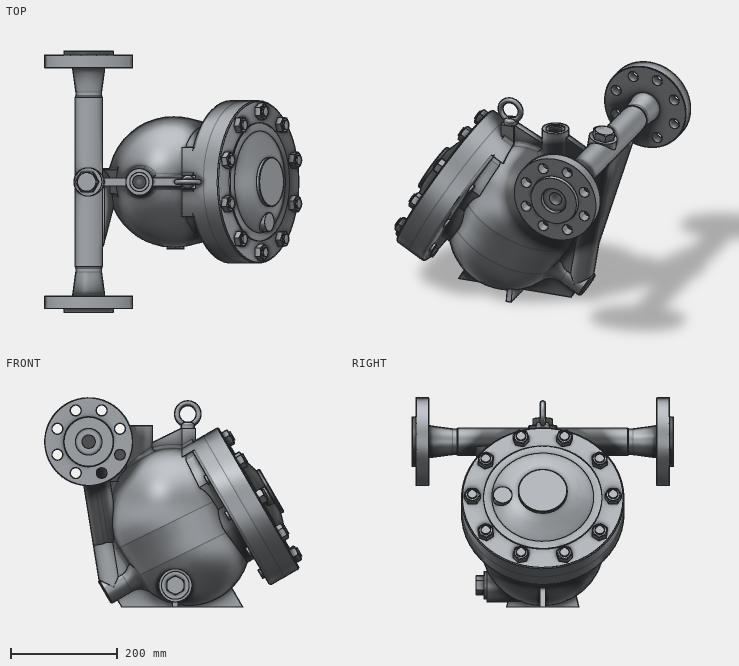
import cadquery as cq
import math


OVERALL_LENGTH = 490.0
PIPE_DIA = 52.0
PIPE_HALF = 158.5
NECK_SMALL_DIA = 48.5
NECK_LARGE_DIA = 60.0
WELD_DIA = 49.5
WELD_END = 161.0
NECK_STRAIGHT_END = 169.0
NECK_CONE_END = 210.5
FLANGE_BACK = 213.5
FLANGE_DIA = 165.0
FLANGE_THICK = 24.0
FLANGE_EDGE = 1.0
RAISED_DIA = 94.0
RAISED_FACE_DIA = 92.0
FLANGE_HOLE_DIA = 20.0
FLANGE_HOLE_CIRCLE = 127.0
FLANGE_HOLE_COUNT = 8
SOCKET_DIA = 50.0
SOCKET_DEPTH = 10.0
BORE_DIA = 25.0
BORE_DEPTH = 60.0

COVER_TILT = 30.0
PARTING_X = 291.1
PARTING_Z = -121.2
COVER_DIA = 305.0
COVER_THICK = 32.0
COVER_EDGE = 2.0
BODY_FLANGE_THICK = 32.0
BODY_FLANGE_EDGE = 5.0
PAD_DIA = 222.0
PAD_HEIGHT = 2.5
DOME_DIA = 191.0
COVER_BOSS_DIA = 92.0
COVER_BOSS_FACE_DIA = 90.0
COVER_BOSS_HEIGHT = 28.0
DOME_RIM_HEIGHT = 21.5
DOME_MID_DIA = 136.0
DOME_MID_HEIGHT = 14.5
SIDE_BOSS_DIA = 35.0
SIDE_BOSS_HEIGHT = 20.0
SIDE_BOSS_Y = -75.0
SIDE_BOSS_RISE = -5.0
BOLT_COUNT = 10
BOLT_CIRCLE = 264.0
BOLT_DIA = 18.0
BOLT_HEX_FLATS = 27.0
BOLT_HEX_CROWN = 25.0
BOLT_HEX_HEIGHT = 12.5
BOLT_TIP_HEIGHT = 15.4
BOLT_TAIL = 5.0

UPPER_BALL_DIA = 245.0
UPPER_BALL_X = 159.0
UPPER_BALL_Z = -134.4
LOWER_BALL_DIA = 231.5
LOWER_BALL_X = 187.0
LOWER_BALL_Z = -191.4
NECK_GAP = 25.0
NECK_LIMIT = 146.0
NECK_FILLET = 12.0
NECK_UPPER_RADIUS = 104.0
NECK_UPPER_RISE = 50.0
NECK_LOWER_RADIUS = 93.0
NECK_LOWER_RISE = -1.0
HEEL_WALL_X = 174.8
HEEL_RISE = 138.0
HEEL_OVERLAP = 10.0

LEG_DIA = 50.0
LEG_TILT = 9.1
LEG_OFFSET_X = 3.0
LEG_LENGTH = 276.0
PLUG_SEAT = 28.5
PLUG_BOSS_DIA = 53.0
PLUG_FLATS = 37.0
PLUG_CROWN = 35.0
PLUG_HEX_TOP = 43.0
WEB_EDGE_RADIUS = 21.0
WEB_TOP = -12.0
WEB_TOP_WIDTH = 133.0
WEB_LOW_WIDTH = 24.0
WEB_BOTTOM = -193.0
SPIGOT_DIA = 50.0
SPIGOT_END_X = 29.8
SPIGOT_END_Z = -281.8
SPIGOT_EDGE = 2.5
SPIGOT_FLARE_RADIUS = 32.0
LEG_RIB_THICK = 44.0
LEG_RIB_BACK_X = 20.0
LEG_RIB_TOP_Z = -75.0
LEG_RIB_FOOT_X = 45.0
LEG_RIB_FOOT_Z = -270.0

TOP_BOSS_DIA = 50.0
TOP_BOSS_X = 95.0
TOP_BOSS_Z = 30.0
TOP_SINK_DIA = 36.0
TOP_SINK_DEPTH = 2.0
TOP_HOLE_DIA = 25.0
TOP_HOLE_DEPTH = 50.0
RIB_THICK = 15.0
RIB_ROOT_Z = -80.0
BACK_RIB_START_X = 12.0
BACK_RIB_START_Z = -16.0
BACK_RIB_END_X = 70.0
BACK_RIB_END_Z = 17.0
FRONT_RIB_START_Z = -13.5
FRONT_RIB_END_X = 173.0
EYE_X = 185.8
EYE_Z = 51.9
EYE_RING_RADIUS = 20.2
EYE_WIRE_DIA = 9.6
EYE_SEAT_Z = 25.0
EYE_COLLAR_DIA = 25.0
EYE_COLLAR_HEIGHT = 11.0
EYE_COLLAR_ROUND = 5.0
EYE_BLOCK_LENGTH = 25.5
EYE_BLOCK_WIDTH = 25.0
EYE_BLOCK_DROP = 40.0
EYE_ROOT_LOW_Z = -10.0
EYE_ROOT_HIGH_Z = 0.0
EYE_BLOCK_FILLET = 6.0
ROOT_FILLET = 8.0
TOP_ROOT_REACH = 20.0

DRAIN_X = 162.5
DRAIN_Z = -269.2
DRAIN_DIA = 62.0
DRAIN_FACE_Y = -104.6
DRAIN_COLLAR_DIA = 52.0
DRAIN_COLLAR_HEIGHT = 5.4
DRAIN_HEX_FLATS = 31.5
DRAIN_HEX_CROWN = 33.0
DRAIN_HEX_HEIGHT = 15.3
FOOT_Z = -310.0
FOOT_THICK = 10.0
FOOT_HALF_WIDTH = 68.0
FOOT_BACK_X = 62.0
FOOT_FRONT_X = 289.0
FOOT_BACK_RISE = 17.0
CROSS_FOOT_TOP_HALF_WIDTH = 38.0

HALF_HEX_TURN = 30.0
CROWN_ANGLE = math.radians(30)
tilt = math.radians(COVER_TILT)
cover_axis = cq.Vector(math.cos(tilt), 0, math.sin(tilt))
cover_rise = cq.Vector(-math.sin(tilt), 0, math.cos(tilt))
parting_centre = cq.Vector(PARTING_X, 0, PARTING_Z)


def cover_plane(distance):
    """Plane square to the cover axis; local x is +Y and local y climbs the cover."""
    origin = parting_centre + cover_axis * distance
    return cq.Workplane(cq.Plane(origin=origin.toTuple(), xDir=(0, 1, 0), normal=cover_axis.toTuple()))


def axial_profile(origin):
    """Sketch plane for turned shapes: local x is +Y, local y runs along the cover axis."""
    return cq.Workplane(cq.Plane(origin=origin, xDir=(0, 1, 0), normal=(cover_rise * -1).toTuple()))


def spigot_end_plane():
    """Plane of the spigot's end face, its normal pointing into the chamber."""
    origin = (SPIGOT_END_X, 0, SPIGOT_END_Z)
    return cq.Workplane(cq.Plane(origin=origin, xDir=(0, 1, 0), normal=cover_axis.toTuple()))


def across_corners(flats):
    return flats / math.cos(math.radians(HALF_HEX_TURN))


def make_hex_head(base, flats, height, crown_dia):
    """Hexagon standing on a workplane, its free corners turned down to a crown circle."""
    corners = across_corners(flats)
    crown_drop = (corners - crown_dia) / 2 * math.tan(CROWN_ANGLE)
    profile = [
        (0, 0),
        (corners / 2, 0),
        (corners / 2, height - crown_drop),
        (crown_dia / 2, height),
        (0, height),
    ]
    plane = base.plane
    side = cq.Plane(origin=plane.origin, xDir=plane.xDir, normal=plane.yDir * -1)
    crown = cq.Workplane(side).polyline(profile).close().revolve(360, (0, 0, 0), (0, 1, 0))
    return base.polygon(6, corners).extrude(height).intersect(crown)


def make_pipe_end():
    """One welding neck and flange on the +Y end, turned about Y."""
    end = OVERALL_LENGTH / 2
    flange_front = FLANGE_BACK + FLANGE_THICK
    profile = [
        (0, PIPE_HALF),
        (WELD_DIA / 2, PIPE_HALF),
        (WELD_DIA / 2, WELD_END),
        (NECK_SMALL_DIA / 2, WELD_END),
        (NECK_SMALL_DIA / 2, NECK_STRAIGHT_END),
        (NECK_LARGE_DIA / 2, NECK_CONE_END),
        (NECK_LARGE_DIA / 2, FLANGE_BACK),
        (FLANGE_DIA / 2 - FLANGE_EDGE, FLANGE_BACK),
        (FLANGE_DIA / 2, FLANGE_BACK + FLANGE_EDGE),
        (FLANGE_DIA / 2, flange_front),
        (RAISED_DIA / 2, flange_front),
        (RAISED_FACE_DIA / 2, end),
        (0, end),
    ]
    body = cq.Workplane("XY").polyline(profile).close().revolve(360, (0, 0, 0), (0, 1, 0))
    face = cq.Workplane("XZ", origin=(0, end, 0))
    holes = (
        face.polarArray(FLANGE_HOLE_CIRCLE / 2, 180 / FLANGE_HOLE_COUNT, 360, FLANGE_HOLE_COUNT)
        .circle(FLANGE_HOLE_DIA / 2)
        .extrude(end - FLANGE_BACK + FLANGE_EDGE)
    )
    socket = face.circle(SOCKET_DIA / 2).extrude(SOCKET_DEPTH)
    bore = face.circle(BORE_DIA / 2).extrude(BORE_DEPTH)
    return body.cut(holes).cut(socket).cut(bore)


def make_pipe():
    tube = cq.Workplane("XZ").circle(PIPE_DIA / 2).extrude(PIPE_HALF, both=True)
    pipe_end = make_pipe_end()
    return tube.union(pipe_end).union(pipe_end.mirror("XZ"))


def make_leg():
    """Inclined leg pipe with its triangular web and the hex plug on top."""
    lean = math.radians(LEG_TILT)
    normal = (-math.sin(lean), 0, math.cos(lean))
    leg_plane = cq.Plane(origin=(LEG_OFFSET_X, 0, 0), xDir=(0, -1, 0), normal=normal)
    square = cq.Workplane(leg_plane)
    pipe = square.workplane(offset=-LEG_LENGTH).circle(LEG_DIA / 2).extrude(LEG_LENGTH)
    plug_boss = square.circle(PLUG_BOSS_DIA / 2).extrude(PLUG_SEAT)
    plug_base = square.workplane(offset=PLUG_SEAT).transformed(rotate=(0, 0, HALF_HEX_TURN))
    plug = make_hex_head(plug_base, PLUG_FLATS, PLUG_HEX_TOP - PLUG_SEAT, PLUG_CROWN)
    along = cq.Workplane(cq.Plane(origin=(LEG_OFFSET_X, 0, 0), xDir=(0, -1, 0),
                                  normal=(-math.cos(lean), 0, -math.sin(lean))))
    outline = [
        (0, WEB_TOP),
        (WEB_TOP_WIDTH, WEB_TOP),
        (WEB_LOW_WIDTH, WEB_BOTTOM),
        (0, WEB_BOTTOM),
    ]
    web = along.polyline(outline).close().extrude(LEG_DIA / 2, both=True)
    slope = cq.Vector(WEB_TOP_WIDTH - WEB_LOW_WIDTH, WEB_TOP - WEB_BOTTOM, 0)
    slope_direction = along.plane.toWorldCoords(slope) - along.plane.origin
    web = web.edges(cq.selectors.ParallelDirSelector(slope_direction)).fillet(WEB_EDGE_RADIUS)
    leg = pipe.union(plug_boss).union(plug).union(web)
    return leg.cut(make_spigot_end_space())


def make_spigot():
    """Closed spigot parallel to the cover axis, flaring out into the lower ball."""
    ball = LOWER_BALL_DIA / 2
    radius = SPIGOT_DIA / 2
    flare = SPIGOT_FLARE_RADIUS
    reach = math.hypot(LOWER_BALL_X - SPIGOT_END_X, LOWER_BALL_Z - SPIGOT_END_Z)
    flare_out = radius + flare
    flare_along = reach - math.sqrt((ball + flare) ** 2 - flare_out**2)
    share = ball / (ball + flare)
    ball_touch = (flare_out * share, reach - (reach - flare_along) * share)
    toward_spigot = math.pi
    toward_ball = math.atan2(reach - flare_along, -flare_out)
    halfway = (toward_spigot + toward_ball) / 2
    flare_middle = (flare_out + flare * math.cos(halfway), flare_along + flare * math.sin(halfway))
    return (
        axial_profile((SPIGOT_END_X, 0, SPIGOT_END_Z))
        .moveTo(0, 0)
        .lineTo(radius - SPIGOT_EDGE, 0)
        .lineTo(radius, SPIGOT_EDGE)
        .lineTo(radius, flare_along)
        .threePointArc(flare_middle, ball_touch)
        .lineTo(0, reach)
        .close()
        .revolve(360, (0, 0, 0), (0, 1, 0))
    )


def make_spigot_end_space():
    """Space outside the spigot's end, where the foot of the leg is trimmed away."""
    size = 4 * SPIGOT_DIA
    return spigot_end_plane().workplane(offset=SPIGOT_EDGE).rect(size, size).extrude(-size)


def make_leg_rib():
    """Rib filling the corner between the leg, the spigot and the chamber."""
    outline = [
        (LEG_RIB_BACK_X, LEG_RIB_TOP_Z),
        (LEG_RIB_FOOT_X, LEG_RIB_FOOT_Z),
        (UPPER_BALL_X, LOWER_BALL_Z),
        (UPPER_BALL_X, LEG_RIB_TOP_Z),
    ]
    return make_rib(outline, LEG_RIB_THICK)


def make_chamber():
    """Tangent hull of two balls, turned about the line through their centres."""
    big = UPPER_BALL_DIA / 2
    small = LOWER_BALL_DIA / 2
    span = math.hypot(LOWER_BALL_X - UPPER_BALL_X, LOWER_BALL_Z - UPPER_BALL_Z)
    sine = (big - small) / span
    cosine = math.sqrt(1 - sine**2)
    middle = math.sqrt(0.5)
    plane = cq.Plane(
        origin=(UPPER_BALL_X, 0, UPPER_BALL_Z),
        xDir=(0, 1, 0),
        normal=((LOWER_BALL_Z - UPPER_BALL_Z) / span, 0, -(LOWER_BALL_X - UPPER_BALL_X) / span),
    )
    return (
        cq.Workplane(plane)
        .moveTo(0, -big)
        .threePointArc((big * middle, -big * middle), (big * cosine, big * sine))
        .lineTo(small * cosine, span + small * sine)
        .threePointArc((small * middle, span + small * middle), (0, span + small))
        .close()
        .revolve(360, (0, 0, 0), (0, 1, 0))
    )


def make_neck():
    """Straight neck from the chamber to the flange, shaped like the chamber's section."""
    start = -BODY_FLANGE_THICK - NECK_GAP
    upper, upper_rise = NECK_UPPER_RADIUS, NECK_UPPER_RISE
    lower, lower_rise = NECK_LOWER_RADIUS, NECK_LOWER_RISE
    sine = (lower - upper) / (upper_rise - lower_rise)
    cosine = math.sqrt(1 - sine**2)
    upper_touch = (upper * cosine, upper_rise - upper * sine)
    lower_touch = (lower * cosine, lower_rise - lower * sine)
    outline = (
        cover_plane(start)
        .moveTo(*upper_touch)
        .threePointArc((0, upper_rise + upper), (-upper_touch[0], upper_touch[1]))
        .lineTo(-lower_touch[0], lower_touch[1])
        .threePointArc((0, lower_rise - lower), lower_touch)
        .close()
    )
    rear_face = cover_plane(-BODY_FLANGE_THICK)
    plate = rear_face.circle(COVER_DIA).extrude(BODY_FLANGE_THICK / 2)
    neck = outline.extrude(NECK_GAP)
    square_faces = plate.union(neck).faces(cq.selectors.ParallelDirSelector(cover_axis))
    ring = square_faces.faces(cq.selectors.AreaNthSelector(-1))
    neck = ring.wires(cq.selectors.LengthNthSelector(0)).fillet(NECK_FILLET)
    return neck.intersect(cover_plane(start).circle(NECK_LIMIT).extrude(NECK_GAP + BODY_FLANGE_THICK / 2))


def make_heel():
    """Top segment of the body flange carried back to a vertical wall."""
    length = COVER_DIA / 2
    height = COVER_DIA / 2 - HEEL_RISE
    back = cover_plane(-BODY_FLANGE_THICK - length)
    segment = back.center(0, HEEL_RISE + height / 2).rect(COVER_DIA, height).extrude(length + HEEL_OVERLAP)
    round_bar = back.circle(COVER_DIA / 2).extrude(length + HEEL_OVERLAP)
    ahead_of_wall = (
        cq.Workplane("YZ", origin=(HEEL_WALL_X, 0, 0)).rect(2 * COVER_DIA, 2 * COVER_DIA).extrude(COVER_DIA)
    )
    heel = round_bar.intersect(segment).intersect(ahead_of_wall)
    block_centre_x = HEEL_WALL_X + EYE_BLOCK_LENGTH / 2
    block = (
        cq.Workplane("XY", origin=(block_centre_x, 0, EYE_SEAT_Z))
        .rect(EYE_BLOCK_LENGTH, EYE_BLOCK_WIDTH)
        .extrude(-EYE_BLOCK_DROP)
    )
    side_roots = cq.selectors.BoxSelector(
        (HEEL_WALL_X, -EYE_BLOCK_WIDTH, EYE_ROOT_LOW_Z),
        (block_centre_x, EYE_BLOCK_WIDTH, EYE_ROOT_HIGH_Z),
    )
    inclined = cq.selectors.ParallelDirSelector(cover_axis)
    return heel.union(block).edges(inclined).edges(side_roots).fillet(EYE_BLOCK_FILLET)


def make_body_flange():
    facing_back = cq.selectors.DirectionMinMaxSelector(cover_axis, False)
    disc = cover_plane(-BODY_FLANGE_THICK).circle(COVER_DIA / 2).extrude(BODY_FLANGE_THICK)
    disc = disc.faces(facing_back).edges().fillet(BODY_FLANGE_EDGE)
    return disc.union(make_neck()).union(make_heel())


def make_cover():
    disc = cover_plane(0).circle(COVER_DIA / 2).extrude(COVER_THICK)
    disc = disc.faces(cq.selectors.DirectionMinMaxSelector(cover_axis, True)).chamfer(COVER_EDGE)
    pad = cover_plane(COVER_THICK).circle(PAD_DIA / 2).extrude(PAD_HEIGHT)
    rim_x = COVER_BOSS_DIA / 2
    boss_edge = (COVER_BOSS_DIA - COVER_BOSS_FACE_DIA) / 2
    front_centre = parting_centre + cover_axis * COVER_THICK
    dome = (
        axial_profile(front_centre.toTuple())
        .moveTo(0, 0)
        .lineTo(DOME_DIA / 2, 0)
        .lineTo(DOME_DIA / 2, PAD_HEIGHT)
        .threePointArc((DOME_MID_DIA / 2, DOME_MID_HEIGHT), (rim_x, DOME_RIM_HEIGHT))
        .lineTo(rim_x, COVER_BOSS_HEIGHT - boss_edge)
        .lineTo(COVER_BOSS_FACE_DIA / 2, COVER_BOSS_HEIGHT)
        .lineTo(0, COVER_BOSS_HEIGHT)
        .close()
        .revolve(360, (0, 0, 0), (0, 1, 0))
    )
    side_boss = (
        cover_plane(COVER_THICK)
        .center(SIDE_BOSS_Y, SIDE_BOSS_RISE)
        .circle(SIDE_BOSS_DIA / 2)
        .extrude(SIDE_BOSS_HEIGHT)
    )
    return disc.union(pad).union(dome).union(side_boss)


def make_bolt(angle):
    """Cover bolt: stud through both flanges with a hex nut, one corner pointing outward."""
    y = BOLT_CIRCLE / 2 * math.cos(math.radians(angle))
    rise = BOLT_CIRCLE / 2 * math.sin(math.radians(angle))
    stud_length = BOLT_TAIL + BODY_FLANGE_THICK + COVER_THICK + BOLT_TIP_HEIGHT
    stud_base = cover_plane(-BODY_FLANGE_THICK - BOLT_TAIL).center(y, rise)
    stud = stud_base.circle(BOLT_DIA / 2).extrude(stud_length)
    nut_seat = cover_plane(COVER_THICK).transformed(rotate=(0, 0, angle)).center(BOLT_CIRCLE / 2, 0)
    nut = make_hex_head(nut_seat, BOLT_HEX_FLATS, BOLT_HEX_HEIGHT, BOLT_HEX_CROWN)
    return stud.union(nut)


def make_top_boss():
    depth = TOP_BOSS_Z - UPPER_BALL_Z
    return cq.Workplane("XY", origin=(TOP_BOSS_X, 0, UPPER_BALL_Z)).circle(TOP_BOSS_DIA / 2).extrude(depth)


def cut_top_hole(part):
    top = cq.Workplane("XY", origin=(TOP_BOSS_X, 0, TOP_BOSS_Z))
    part = part.cut(top.circle(TOP_SINK_DIA / 2).extrude(-TOP_SINK_DEPTH))
    return part.cut(top.circle(TOP_HOLE_DIA / 2).extrude(-TOP_HOLE_DEPTH))


def make_rib(outline, thick):
    """Upright plate lying in the symmetry plane."""
    return cq.Workplane("XZ").polyline(outline).close().extrude(thick / 2, both=True)


def make_ribs():
    """Two ribs running out from the top boss: back to the main pipe and forward to the eye."""
    back = [
        (BACK_RIB_START_X, BACK_RIB_START_Z),
        (BACK_RIB_END_X, BACK_RIB_END_Z),
        (TOP_BOSS_X, BACK_RIB_END_Z),
        (TOP_BOSS_X, RIB_ROOT_Z),
        (BACK_RIB_START_X, RIB_ROOT_Z),
    ]
    front = [
        (TOP_BOSS_X, FRONT_RIB_START_Z),
        (FRONT_RIB_END_X, EYE_SEAT_Z),
        (EYE_X, EYE_SEAT_Z),
        (EYE_X, RIB_ROOT_Z),
        (TOP_BOSS_X, RIB_ROOT_Z),
    ]
    return make_rib(back, RIB_THICK).union(make_rib(front, RIB_THICK))


def make_lifting_eye():
    collar = (
        cq.Workplane("XY", origin=(EYE_X, 0, EYE_SEAT_Z))
        .circle(EYE_COLLAR_DIA / 2)
        .extrude(EYE_COLLAR_HEIGHT)
        .faces(">Z")
        .fillet(EYE_COLLAR_ROUND)
    )
    ring = (
        cq.Workplane("XY", origin=(EYE_X, 0, EYE_Z))
        .center(EYE_RING_RADIUS, 0)
        .circle(EYE_WIRE_DIA / 2)
        .revolve(360, (-EYE_RING_RADIUS, 0, 0), (-EYE_RING_RADIUS, 1, 0))
    )
    return collar.union(ring)


def make_chamber_with_ribs():
    """Chamber, top boss and ribs with rounded roots where they leave the upper ball."""
    body = make_chamber().union(make_top_boss()).union(make_ribs())
    top_roots = cq.selectors.BoxSelector(
        (TOP_BOSS_X - TOP_ROOT_REACH, -TOP_BOSS_DIA, RIB_ROOT_Z),
        (HEEL_WALL_X, TOP_BOSS_DIA, FRONT_RIB_START_Z),
    )
    body = body.edges(top_roots).fillet(ROOT_FILLET).union(make_leg_rib())
    leg_roots = cq.selectors.BoxSelector(
        (LEG_RIB_BACK_X + SPIGOT_DIA / 2 - ROOT_FILLET, -LEG_RIB_THICK, LOWER_BALL_Z),
        (UPPER_BALL_X, LEG_RIB_THICK, LEG_RIB_TOP_Z - ROOT_FILLET),
    )
    return body.edges(leg_roots).fillet(ROOT_FILLET)


def make_drain():
    base = cq.Workplane("XZ", origin=(DRAIN_X, 0, DRAIN_Z))
    collar_face = -DRAIN_FACE_Y + DRAIN_COLLAR_HEIGHT
    boss = base.circle(DRAIN_DIA / 2).extrude(-DRAIN_FACE_Y)
    collar = base.circle(DRAIN_COLLAR_DIA / 2).extrude(collar_face)
    head_seat = base.workplane(offset=collar_face).transformed(rotate=(0, 0, 3 * HALF_HEX_TURN))
    hexagon = make_hex_head(head_seat, DRAIN_HEX_FLATS, DRAIN_HEX_HEIGHT, DRAIN_HEX_CROWN)
    return boss.union(collar).union(hexagon)


def make_feet():
    """Long foot in the symmetry plane crossed by a shorter one under the drain boss."""
    top = LOWER_BALL_Z
    lean = (top - FOOT_Z) * math.tan(tilt)
    outline = [
        (FOOT_BACK_X, FOOT_Z),
        (FOOT_FRONT_X, FOOT_Z),
        (FOOT_FRONT_X - lean, top),
        (FOOT_BACK_X - FOOT_BACK_RISE * math.tan(tilt), FOOT_Z + FOOT_BACK_RISE),
    ]
    long_foot = make_rib(outline, FOOT_THICK)
    cross_outline = [
        (-FOOT_HALF_WIDTH, FOOT_Z),
        (FOOT_HALF_WIDTH, FOOT_Z),
        (CROSS_FOOT_TOP_HALF_WIDTH, top),
        (-CROSS_FOOT_TOP_HALF_WIDTH, top),
    ]
    cross = (
        cq.Workplane("YZ", origin=(DRAIN_X, 0, 0))
        .polyline(cross_outline)
        .close()
        .extrude(FOOT_THICK / 2, both=True)
    )
    return long_foot.union(cross)


result = make_chamber_with_ribs().union(make_body_flange()).union(make_spigot())
result = result.union(make_drain()).union(make_feet())
result = result.union(make_leg()).union(make_pipe()).union(make_lifting_eye())
result = cut_top_hole(result)
result = result.union(make_cover(), clean=False)
for index in range(BOLT_COUNT):
    result = result.union(make_bolt(index * 360 / BOLT_COUNT), clean=False)